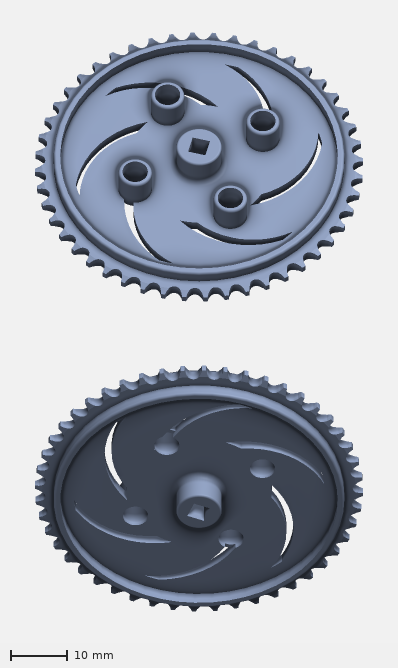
import cadquery as cq
import math

TOOTH_COUNT = 48
TIP_RADIUS = 29.295
RING_HALF_THICKNESS = 1.0
TIP_CHAMFER_LENGTH = 1.3
TIP_CHAMFER_DEPTH = 0.375
ROOT_RADIUS = 27.45
SEAT_RADIUS = 1.15
LOWER_FLANK_ANGLE = 32.0
UPPER_FLANK_ANGLE = 18.0
FLANK_BREAK_RADIUS = 28.55
GAP_ANGLE = 2.5
GAP_OVERCUT = 1.0

RIM_OUTER_RADIUS = 51.94 / 2
RIM_INNER_RADIUS = 49.54 / 2
RIM_HALF_HEIGHT = 3.25
RIM_FILLET = 0.5

WEB_HALF_THICKNESS = 1.0
WEB_FLAT_RADIUS = 17.35
WEB_EDGE_HALF_THICKNESS = 0.9

HUB_RADIUS = 4.05
HUB_HALF_HEIGHT = 6.25
HUB_BASE_FILLET = 1.0
HUB_TOP_FILLET = 0.4
DRIVE_SIDE = 3.2
DRIVE_ANGLE = 11.5

POST_COUNT = 4
POST_CIRCLE_RADIUS = 12.7
POST_ANGLE = 52.65
POST_DIAMETER = 6.0
POST_BORE = 4.51
POST_FILLET = 0.5

SLOT_COUNT = 6
SLOT_INNER_RADIUS = 13.0
SLOT_OUTER_RADIUS = 22.45
SLOT_CONVEX_RADIUS = 16.52
SLOT_CONVEX_CENTRE = (1.97, 8.7)
SLOT_CONCAVE_RADIUS = 14.9
SLOT_CONCAVE_CENTRE = (2.47, 9.46)


def cylinder(radius, half_height, centre=(0, 0)):
    """Solid cylinder centred on the mid plane."""
    base = cq.Workplane("XY", origin=(*centre, -half_height))
    return base.circle(radius).extrude(2 * half_height)


def revolve_half_section(points):
    """Solid of revolution about Z whose section is the given (radius, z) points mirrored in the mid plane."""
    mirrored = [(radius, -z) for radius, z in reversed(points)]
    return cq.Workplane("XZ").polyline(points + mirrored).close().revolve()


def make_ring():
    """Disc with both edges of its rim chamfered to thin the tooth tips."""
    return revolve_half_section([
        (0, RING_HALF_THICKNESS),
        (TIP_RADIUS - TIP_CHAMFER_LENGTH, RING_HALF_THICKNESS),
        (TIP_RADIUS, RING_HALF_THICKNESS - TIP_CHAMFER_DEPTH),
    ])


def make_tooth_gap():
    """Cutter for one gap on the X axis: a round seat, then two straight stretches up each flank."""
    lower_flank = math.radians(LOWER_FLANK_ANGLE)
    upper_flank = math.radians(UPPER_FLANK_ANGLE)
    seat_x = ROOT_RADIUS + SEAT_RADIUS * (1 - math.sin(lower_flank))
    seat_y = SEAT_RADIUS * math.cos(lower_flank)
    break_x = FLANK_BREAK_RADIUS
    break_y = seat_y + (break_x - seat_x) * math.tan(lower_flank)
    end_x = TIP_RADIUS + GAP_OVERCUT
    end_y = break_y + (end_x - break_x) * math.tan(upper_flank)
    outline = (
        cq.Workplane("XY", origin=(0, 0, -RING_HALF_THICKNESS))
        .moveTo(end_x, end_y)
        .lineTo(break_x, break_y)
        .lineTo(seat_x, seat_y)
        .threePointArc((ROOT_RADIUS, 0), (seat_x, -seat_y))
        .lineTo(break_x, -break_y)
        .lineTo(end_x, -end_y)
        .close()
    )
    return outline.extrude(2 * RING_HALF_THICKNESS)


def cut_teeth(ring):
    gap = make_tooth_gap()
    for index in range(TOOTH_COUNT):
        ring = ring.cut(gap.rotate((0, 0, 0), (0, 0, 1), GAP_ANGLE + index * 360 / TOOTH_COUNT))
    return ring


def make_rim():
    rim = cylinder(RIM_OUTER_RADIUS, RIM_HALF_HEIGHT)
    rim = rim.edges("%CIRCLE").fillet(RIM_FILLET)
    return rim.cut(cylinder(RIM_INNER_RADIUS, RIM_HALF_HEIGHT))


def make_web():
    """Disc filling the rim, flat in the middle and conical on both faces further out."""
    return revolve_half_section([
        (0, WEB_HALF_THICKNESS),
        (WEB_FLAT_RADIUS, WEB_HALF_THICKNESS),
        (RIM_INNER_RADIUS, WEB_EDGE_HALF_THICKNESS),
    ])


def make_hub():
    """Round hub passing through the web, with both end edges rounded."""
    hub = cylinder(HUB_RADIUS, HUB_HALF_HEIGHT)
    return hub.edges("%CIRCLE").fillet(HUB_TOP_FILLET)


def make_hub_flare(side):
    """Concave ring in the corner between the hub and the web; side is +1 or -1."""
    outer_radius = HUB_RADIUS + HUB_BASE_FILLET
    base = side * WEB_HALF_THICKNESS
    top = side * (WEB_HALF_THICKNESS + HUB_BASE_FILLET)
    sagitta = HUB_BASE_FILLET * (1 - math.sqrt(0.5))
    section = (
        cq.Workplane("XZ")
        .moveTo(0, 0)
        .lineTo(outer_radius, 0)
        .lineTo(outer_radius, base)
        .threePointArc((HUB_RADIUS + sagitta, base + side * sagitta), (HUB_RADIUS, top))
        .lineTo(0, top)
        .close()
    )
    return section.revolve()


def post_centres():
    centres = []
    for index in range(POST_COUNT):
        angle = math.radians(POST_ANGLE + index * 360 / POST_COUNT)
        centres.append((POST_CIRCLE_RADIUS * math.cos(angle), POST_CIRCLE_RADIUS * math.sin(angle)))
    return centres


def make_post(centre):
    post = cq.Workplane("XY", origin=(*centre, 0)).circle(POST_DIAMETER / 2).extrude(HUB_HALF_HEIGHT)
    return post.faces(">Z").edges().fillet(POST_FILLET)


def make_slot():
    """Cutter for one slot: the crescent between two arcs, kept between two radii about the part axis."""
    crescent = cylinder(SLOT_CONVEX_RADIUS, RIM_HALF_HEIGHT, SLOT_CONVEX_CENTRE)
    crescent = crescent.cut(cylinder(SLOT_CONCAVE_RADIUS, RIM_HALF_HEIGHT, SLOT_CONCAVE_CENTRE))
    band = cylinder(SLOT_OUTER_RADIUS, RIM_HALF_HEIGHT)
    band = band.cut(cylinder(SLOT_INNER_RADIUS, RIM_HALF_HEIGHT))
    return crescent.intersect(band).solids(">X")


def cut_slots(wheel):
    slot = make_slot()
    for index in range(SLOT_COUNT):
        wheel = wheel.cut(slot.rotate((0, 0, 0), (0, 0, 1), index * 360 / SLOT_COUNT))
    return wheel


def make_drive_hole():
    hole = cq.Workplane("XY").rect(DRIVE_SIDE, DRIVE_SIDE).extrude(HUB_HALF_HEIGHT, both=True)
    return hole.rotate((0, 0, 0), (0, 0, 1), DRIVE_ANGLE)


wheel = cut_teeth(make_ring())
wheel = wheel.cut(cylinder(RIM_INNER_RADIUS, RIM_HALF_HEIGHT))
wheel = wheel.union(make_rim()).union(make_web())
wheel = cut_slots(wheel)

wheel = wheel.union(make_hub())
for flare_side in (1, -1):
    wheel = wheel.union(make_hub_flare(flare_side))
for post_centre in post_centres():
    wheel = wheel.union(make_post(post_centre))

for post_centre in post_centres():
    wheel = wheel.cut(cylinder(POST_BORE / 2, HUB_HALF_HEIGHT, post_centre))
result = wheel.cut(make_drive_hole())